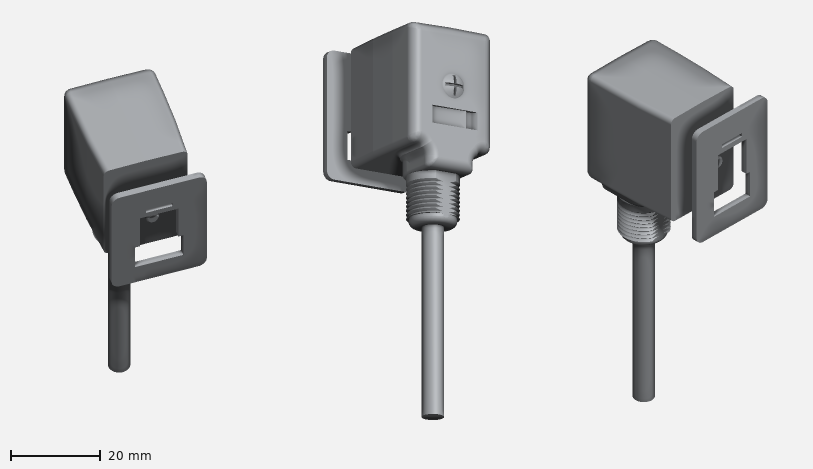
import cadquery as cq
import math


BODY_DEPTH = 27.0
FRONT_WIDTH = 21.4
MIDDLE_WIDTH = 21.1
REAR_WIDTH = 19.8
FIRST_BREAK_X = 8.5
SECOND_BREAK_X = 16.9
BODY_HALF_HEIGHT = 14.0
CROWN_RISE = 0.2
LONG_EDGE_RADIUS = 1.35
FRONT_EDGE_RADIUS = 2.25

NECK_WIDTH = 12.2
NECK_REAR_X = 15.75
NECK_BOTTOM_Z = -19.3
NECK_BOTTOM_RADIUS = 0.8
FLARE_HALF_WIDTH = 8.3
FLARE_UPPER_RADIUS = 0.9
FLARE_END_Z = -16.7

CABLE_X = FIRST_BREAK_X
CABLE_DIAMETER = 5.0
CABLE_END_Z = -74.9
THREAD_DIAMETER = 12.1
THREAD_ROOT_DIAMETER = 10.9
THREAD_PITCH = 1.0
THREAD_TURNS = 8
THREAD_TOP_Z = -21.1
GLAND_BOTTOM_Z = -30.9
GLAND_FLATS = 10.8
GLAND_END_RADIUS = 1.35

SCREW_HEAD_DIAMETER = 5.8
SCREW_HEAD_RISE = 0.9
CROSS_LENGTH = 4.7
CROSS_WIDTH = 0.7
CROSS_FLOOR_X = 0.2
PIN_DIAMETER = 3.0
PIN_END_X = 32.2
PIN_CHAMFER = 0.4

RECESS_LEFT_Y = 5.6
RECESS_STEP_Y = -3.7
RECESS_RAMP_Y = -5.6
RECESS_RIGHT_Y = -6.5
RECESS_TOP_Z = -5.2
RECESS_BOTTOM_Z = -9.4
RECESS_LEFT_DEPTH = 0.9
RECESS_STEP_DEPTH = 0.45
RECESS_DEEP_DEPTH = 1.1

GASKET_FRONT_X = 34.9
GASKET_THICKNESS = 1.5
GASKET_WIDTH = 22.4
GASKET_TOP_Z = 15.1
GASKET_BOTTOM_Z = -14.85
GASKET_CORNER_RADIUS = 2.0
WINDOW_UPPER_WIDTH = 9.0
WINDOW_LOWER_WIDTH = 11.3
WINDOW_TOP_Z = 6.4
WINDOW_STEP_Z = -3.1
WINDOW_BOTTOM_Z = -9.7
SLOT_WIDTH = 6.3
SLOT_BOTTOM_Z = 7.7
SLOT_HEIGHT = 1.0


def box(x_range, y_range, z_range):
    """Box between two limits on each axis."""
    size = [high - low for low, high in (x_range, y_range, z_range)]
    corner = (x_range[0], y_range[0], z_range[0])
    return cq.Workplane("XY").box(*size, centered=False).translate(corner)


def make_block():
    """Tapered block with a slightly crowned roof and rounded long edges."""
    half_plan = [
        (0, FRONT_WIDTH / 2),
        (FIRST_BREAK_X, FRONT_WIDTH / 2),
        (SECOND_BREAK_X, MIDDLE_WIDTH / 2),
        (BODY_DEPTH, REAR_WIDTH / 2),
    ]
    mirrored_plan = [(x, -y) for x, y in reversed(half_plan)]
    plan = (
        cq.Workplane("XY", origin=(0, 0, -BODY_HALF_HEIGHT))
        .polyline(half_plan + mirrored_plan)
        .close()
        .extrude(2 * BODY_HALF_HEIGHT)
    )
    half_width = FRONT_WIDTH / 2
    crowned_section = (
        cq.Workplane("YZ")
        .moveTo(-half_width, -BODY_HALF_HEIGHT)
        .lineTo(half_width, -BODY_HALF_HEIGHT)
        .lineTo(half_width, BODY_HALF_HEIGHT - CROWN_RISE)
        .lineTo(0, BODY_HALF_HEIGHT)
        .lineTo(-half_width, BODY_HALF_HEIGHT - CROWN_RISE)
        .close()
        .extrude(BODY_DEPTH)
    )
    block = plan.intersect(crowned_section)
    side_limit = REAR_WIDTH / 2 - LONG_EDGE_RADIUS
    long_edges = [
        edge
        for edge in block.edges().vals()
        if abs(edge.Center().y) > side_limit and abs(edge.tangentAt(0.5).x) > 0.9
    ]
    return block.newObject(long_edges).fillet(LONG_EDGE_RADIUS)


def make_neck():
    """Round-backed neck that flares out into the underside of the block."""
    neck_radius = NECK_WIDTH / 2
    round_x = NECK_REAR_X - neck_radius
    stem = (
        cq.Workplane("XY", origin=(0, 0, NECK_BOTTOM_Z))
        .moveTo(0, -neck_radius)
        .lineTo(round_x, -neck_radius)
        .threePointArc((NECK_REAR_X, 0), (round_x, neck_radius))
        .lineTo(0, neck_radius)
        .close()
        .extrude(-NECK_BOTTOM_Z - BODY_HALF_HEIGHT + LONG_EDGE_RADIUS)
    )

    upper_y = FLARE_HALF_WIDTH - FLARE_UPPER_RADIUS
    upper_z = -BODY_HALF_HEIGHT - FLARE_UPPER_RADIUS
    run = upper_y - neck_radius
    drop = upper_z - FLARE_END_Z
    lower_radius = (run**2 + drop**2) / (2 * run)
    half_angle = math.atan2(run, drop)
    lower_mid_y = neck_radius + lower_radius * (1 - math.cos(half_angle))
    lower_mid_z = FLARE_END_Z + lower_radius * math.sin(half_angle)
    upper_mid_y = FLARE_HALF_WIDTH - FLARE_UPPER_RADIUS * math.sin(math.pi / 4)
    upper_mid_z = upper_z + FLARE_UPPER_RADIUS * math.sin(math.pi / 4)

    def half_flare():
        return (
            cq.Workplane("YZ")
            .moveTo(0, FLARE_END_Z)
            .lineTo(neck_radius, FLARE_END_Z)
            .threePointArc((lower_mid_y, lower_mid_z), (upper_y, upper_z))
            .threePointArc((upper_mid_y, upper_mid_z), (FLARE_HALF_WIDTH, -BODY_HALF_HEIGHT))
            .lineTo(0, -BODY_HALF_HEIGHT)
            .close()
        )

    side = half_flare().extrude(CABLE_X)
    back = half_flare().revolve(360, (0, 0, 0), (0, 1, 0)).translate((CABLE_X, 0, 0))
    return stem.union(side).union(side.mirror("XZ")).union(back)


def make_gland():
    """Threaded gland with a plain rounded nose and two flats, around the cable."""
    thread_radius = THREAD_DIAMETER / 2
    root_radius = THREAD_ROOT_DIAMETER / 2
    thread_bottom_z = THREAD_TOP_Z - THREAD_TURNS * THREAD_PITCH

    def cylinder(radius, bottom_z, top_z):
        return cq.Workplane("XY", origin=(CABLE_X, 0, bottom_z)).circle(radius).extrude(top_z - bottom_z)

    nose = cylinder(root_radius, GLAND_BOTTOM_Z, NECK_BOTTOM_Z).faces("<Z").edges().fillet(GLAND_END_RADIUS)
    gland = nose.union(cylinder(thread_radius, thread_bottom_z, NECK_BOTTOM_Z))

    for turn in range(THREAD_TURNS):
        groove_top = THREAD_TOP_Z - turn * THREAD_PITCH
        groove_bottom = groove_top - THREAD_PITCH
        groove = (
            cq.Workplane("XZ", origin=(CABLE_X, 0, 0))
            .moveTo(thread_radius, groove_top)
            .lineTo(root_radius, (groove_top + groove_bottom) / 2)
            .lineTo(thread_radius, groove_bottom)
            .close()
            .revolve(360, (0, 0, 0), (0, 1, 0))
        )
        gland = gland.cut(groove)

    flats = box(
        (CABLE_X - GLAND_FLATS / 2, CABLE_X + GLAND_FLATS / 2),
        (-thread_radius, thread_radius),
        (GLAND_BOTTOM_Z, NECK_BOTTOM_Z),
    )
    cable = cylinder(CABLE_DIAMETER / 2, CABLE_END_Z, NECK_BOTTOM_Z)
    return gland.intersect(flats).union(cable)


def make_screw_head():
    """Domed head on the front face with a cross recess."""
    head_radius = SCREW_HEAD_DIAMETER / 2
    dome_radius = (head_radius**2 + SCREW_HEAD_RISE**2) / (2 * SCREW_HEAD_RISE)
    mid_angle = math.asin(head_radius / dome_radius) / 2
    mid_x = dome_radius * (1 - math.cos(mid_angle)) - SCREW_HEAD_RISE
    mid_z = dome_radius * math.sin(mid_angle)
    head = (
        cq.Workplane("XZ")
        .moveTo(-SCREW_HEAD_RISE, 0)
        .threePointArc((mid_x, mid_z), (0, head_radius))
        .lineTo(0, 0)
        .close()
        .revolve(360, (0, 0, 0), (1, 0, 0))
    )
    length = (-CROSS_LENGTH / 2, CROSS_LENGTH / 2)
    width = (-CROSS_WIDTH / 2, CROSS_WIDTH / 2)
    depth = (-SCREW_HEAD_RISE, CROSS_FLOOR_X)
    cross = box(depth, length, width).union(box(depth, width, length))
    return head, cross


def make_pin():
    """Screw end that stands out of the rear face."""
    return (
        cq.Workplane("YZ", origin=(BODY_DEPTH, 0, 0))
        .circle(PIN_DIAMETER / 2)
        .extrude(PIN_END_X - BODY_DEPTH)
        .faces(">X")
        .chamfer(PIN_CHAMFER)
    )


def make_recess():
    """Label recess: a sloping floor, a deeper step, and a ramp back up to the front face."""
    return (
        cq.Workplane("XY", origin=(0, 0, RECESS_BOTTOM_Z))
        .polyline([
            (0, RECESS_LEFT_Y),
            (RECESS_LEFT_DEPTH, RECESS_LEFT_Y),
            (RECESS_STEP_DEPTH, RECESS_STEP_Y),
            (RECESS_DEEP_DEPTH, RECESS_STEP_Y),
            (RECESS_DEEP_DEPTH, RECESS_RAMP_Y),
            (0, RECESS_RIGHT_Y),
        ])
        .close()
        .extrude(RECESS_TOP_Z - RECESS_BOTTOM_Z)
    )


def make_housing():
    """Plug housing in one piece with its neck, gland, cable and screw."""
    shell = make_block().union(make_neck())
    shell = shell.faces("<X").edges().fillet(FRONT_EDGE_RADIUS)
    shell = shell.faces("<Z").edges().fillet(NECK_BOTTOM_RADIUS)
    head, cross = make_screw_head()
    shell = shell.cut(make_recess()).union(head).cut(cross)
    return shell.union(make_gland()).union(make_pin())


def make_gasket():
    """Flat rounded gasket with a stepped window and a slot above it."""
    x_range = (GASKET_FRONT_X, GASKET_FRONT_X + GASKET_THICKNESS)

    def centred_box(width, bottom_z, top_z):
        return box(x_range, (-width / 2, width / 2), (bottom_z, top_z))

    plate = centred_box(GASKET_WIDTH, GASKET_BOTTOM_Z, GASKET_TOP_Z).edges("|X").fillet(GASKET_CORNER_RADIUS)
    window_upper = centred_box(WINDOW_UPPER_WIDTH, WINDOW_STEP_Z, WINDOW_TOP_Z)
    window_lower = centred_box(WINDOW_LOWER_WIDTH, WINDOW_BOTTOM_Z, WINDOW_STEP_Z)
    slot = centred_box(SLOT_WIDTH, SLOT_BOTTOM_Z, SLOT_BOTTOM_Z + SLOT_HEIGHT)
    return plate.cut(window_upper).cut(window_lower).cut(slot)


housing = make_housing()
gasket = make_gasket()
result = cq.Compound.makeCompound([housing.val(), gasket.val()])